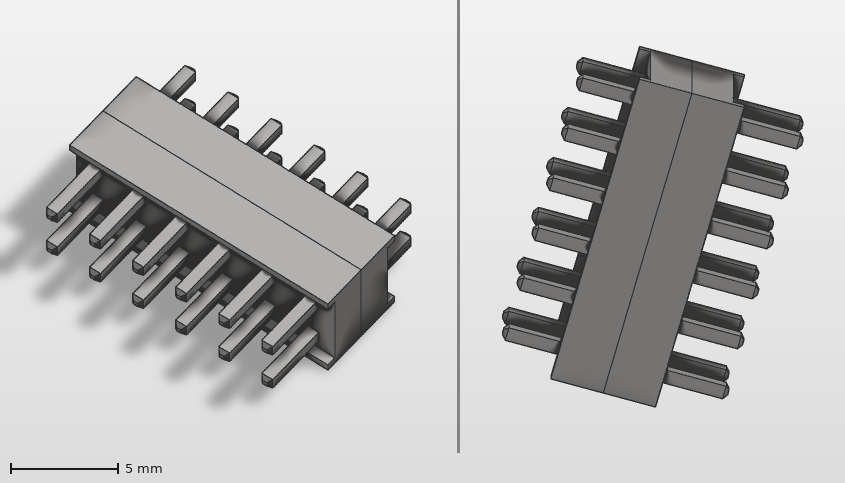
import cadquery as cq

LENGTH = 15.24
COLUMNS = 6
ROWS = 2
PITCH = LENGTH / COLUMNS

HEIGHT = ROWS * PITCH
HALF_DEPTH = PITCH
FLANGE_THICKNESS = 0.4
FLANGE_OVERHANG = 0.53

PIN_WIDTH = 0.64
PIN_SPAN = 10.93
FRONT_PIN_REACH = 5.72
REAR_PIN_REACH = PIN_SPAN - FRONT_PIN_REACH
TIP_TAPER = 0.2


def grid_positions(count):
    """Coordinates of equally pitched pins centred on zero."""
    return [(i - (count - 1) / 2) * PITCH for i in range(count)]


def make_insulator():
    """Half insulator on the +Y side, with a flange along its top and bottom edges."""
    block = cq.Workplane("XY").box(LENGTH, HALF_DEPTH, HEIGHT).translate((0, HALF_DEPTH / 2, 0))
    recess = (
        cq.Workplane("XY")
        .box(LENGTH, FLANGE_OVERHANG, HEIGHT - 2 * FLANGE_THICKNESS)
        .translate((0, HALF_DEPTH - FLANGE_OVERHANG / 2, 0))
    )
    return block.cut(recess)


def make_pin(reach):
    """Square pin from the plane Y = 0 to Y = reach, tapered on all four sides at its tip."""
    return (
        cq.Workplane("XY")
        .box(PIN_WIDTH, reach, PIN_WIDTH)
        .translate((0, reach / 2, 0))
        .faces(">Y")
        .chamfer(TIP_TAPER)
    )


def make_header_half(pin_reach):
    """Half insulator on the +Y side together with its grid of pins."""
    half = make_insulator()
    pin = make_pin(pin_reach)
    for x in grid_positions(COLUMNS):
        for z in grid_positions(ROWS):
            half = half.union(pin.translate((x, 0, z)))
    return half


rear_half = make_header_half(REAR_PIN_REACH)
front_half = make_header_half(FRONT_PIN_REACH).mirror("XZ")

result = cq.Compound.makeCompound([rear_half.solids().val(), front_half.solids().val()])